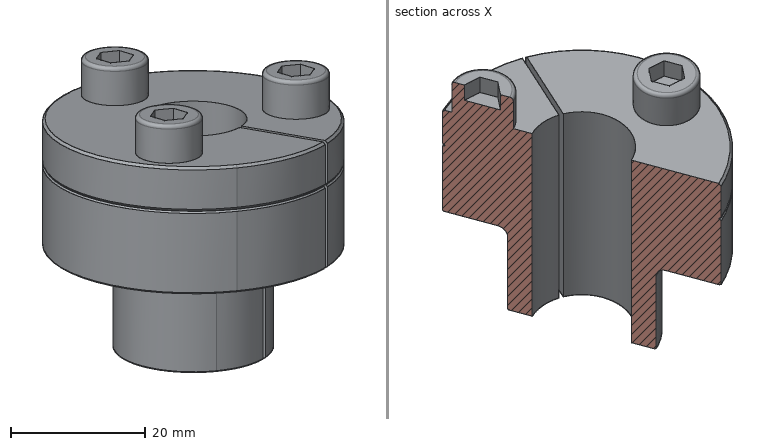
import cadquery as cq
import math

hub_length = 16.0
flange_thickness = 13.0
clamp_ring_thickness = 7.0
joint_z = hub_length + flange_thickness
top_z = joint_z + clamp_ring_thickness

body_radius = 45.0 / 2
hub_radius = 24.0 / 2
bore_radius = 16.0 / 2
ring_chamfer = 0.4
flange_chamfer = 0.25
hub_end_chamfer = 0.2
hub_fillet = 1.6

slit_width = 0.7
slit_angle = 45.0

screw_count = 3
screw_circle_radius = 16.0
first_screw_angle = 90.0
head_diameter = 10.0
head_height = 6.0
head_fillet = 0.6
socket_sides = 6
socket_across_flats = 5.0
socket_depth = 3.0


def disc(radius, bottom_z, height):
    return cq.Workplane("XY").workplane(offset=bottom_z).circle(radius).extrude(height)


def make_hub_flange():
    """Lower half: a wide flange on a narrow hub, with a filleted inside corner."""
    profile = (
        cq.Workplane("XZ")
        .lineTo(hub_radius - hub_end_chamfer, 0)
        .lineTo(hub_radius, hub_end_chamfer)
        .lineTo(hub_radius, hub_length - hub_fillet)
        .radiusArc((hub_radius + hub_fillet, hub_length), hub_fillet)
        .lineTo(body_radius - flange_chamfer, hub_length)
        .lineTo(body_radius, hub_length + flange_chamfer)
        .lineTo(body_radius, joint_z - flange_chamfer)
        .lineTo(body_radius - flange_chamfer, joint_z)
        .lineTo(0, joint_z)
        .close()
    )
    return profile.revolve(360, (0, 0, 0), (0, 1, 0))


def make_clamp_ring():
    """Upper half; its lower chamfer forms a V-groove with the flange below."""
    ring = disc(body_radius, joint_z, clamp_ring_thickness)
    return ring.faces("<Z or >Z").chamfer(ring_chamfer)


def make_slit():
    return (
        cq.Workplane("XY")
        .box(2 * body_radius, slit_width, top_z, centered=(False, True, False))
        .rotate((0, 0, 0), (0, 0, 1), slit_angle)
    )


def make_screw_head():
    """Head centred on the Z axis, with two of its socket flats facing +X and -X."""
    corner_diameter = socket_across_flats / math.cos(math.pi / socket_sides)
    head = disc(head_diameter / 2, top_z, head_height).faces(">Z").edges().fillet(head_fillet)
    socket = (
        cq.Workplane("XY")
        .workplane(offset=top_z + head_height - socket_depth)
        .polygon(socket_sides, corner_diameter)
        .extrude(socket_depth)
        .rotate((0, 0, 0), (0, 0, 1), 180 / socket_sides)
    )
    return head.cut(socket)


def add_screw_heads(body):
    head = make_screw_head()
    for index in range(screw_count):
        angle = math.radians(first_screw_angle + index * 360 / screw_count)
        x = screw_circle_radius * math.cos(angle)
        y = screw_circle_radius * math.sin(angle)
        body = body.union(head.translate((x, y, 0)))
    return body


body = make_hub_flange().union(make_clamp_ring())
body = body.cut(disc(bore_radius, 0, top_z)).cut(make_slit())
result = add_screw_heads(body)